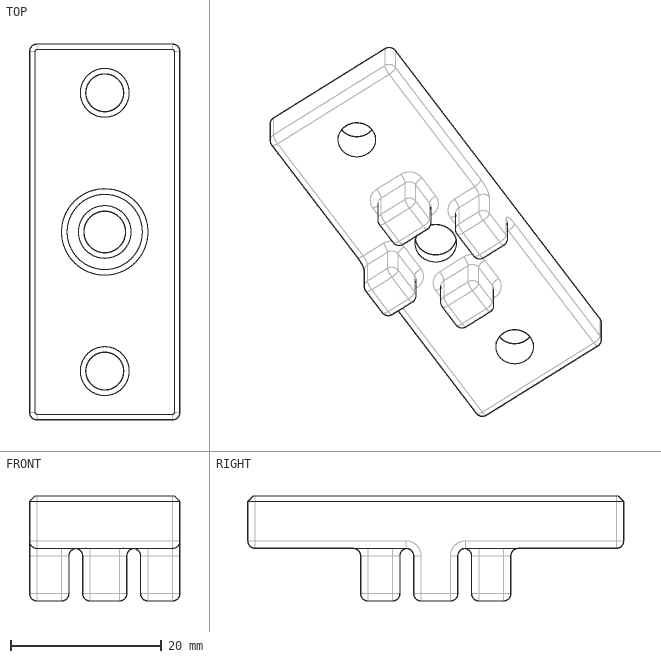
import cadquery as cq

plate_width = 20.0
plate_length = 50.0
plate_thickness = 7.0
edge_radius = 1.0
top_chamfer = 0.75

leg_height = 7.0
leg_width = 5.9
leg_inner_reach = 4.75
leg_outer_reach = plate_width / 2
root_radius = 1.0

end_hole_diameter = 5.0
end_hole_offset = 18.5
center_hole_diameter = 5.5
counterbore_diameter = 10.0
counterbore_depth = 4.0
hole_chamfer = 0.75

plate_bottom = leg_height
plate_top = leg_height + plate_thickness
selection_margin = 0.1


def make_plate():
    """Plain plate with rounded vertical corners."""
    plate = cq.Workplane("XY").workplane(offset=plate_bottom)
    plate = plate.rect(plate_width, plate_length).extrude(plate_thickness)
    return plate.edges("|Z").fillet(edge_radius)


def make_leg(angle, rounded_corners):
    """Leg pointing along +X, turned about Z; the given vertical corners are rounded."""
    leg_length = leg_outer_reach - leg_inner_reach
    leg_center = (leg_outer_reach + leg_inner_reach) / 2
    leg = cq.Workplane("XY").center(leg_center, 0).rect(leg_length, leg_width).extrude(leg_height)
    leg = leg.edges(rounded_corners).fillet(edge_radius)
    return leg.rotate((0, 0, 0), (0, 0, 1), angle)


def make_body():
    """Plate and legs with root fillets, rounded lower edges and a chamfered top."""
    body = make_plate()
    for angle in (0, 180):
        body = body.union(make_leg(angle, "|Z and <X"))
    for angle in (90, 270):
        body = body.union(make_leg(angle, "|Z"))

    root_reach = plate_width / 2 - selection_margin
    root_zone = cq.selectors.BoxSelector(
        (-root_reach, -root_reach - root_radius, plate_bottom - selection_margin),
        (root_reach, root_reach + root_radius, plate_bottom + selection_margin),
    )
    body = body.edges(root_zone).fillet(root_radius)

    lower_zone = cq.selectors.BoxSelector(
        (-plate_width, -plate_length, -selection_margin),
        (plate_width, plate_length, plate_bottom + selection_margin),
    )
    tip_edges = body.faces("<Z").edges().vals()
    side_edges = body.faces("<X or >X").edges(lower_zone).vals()
    end_edges = body.faces("<Y or >Y").edges(lower_zone).vals()
    body = body.newObject(tip_edges + side_edges + end_edges).fillet(edge_radius)

    return body.faces(">Z").edges().chamfer(top_chamfer)


def make_hole_cutter(diameter, depth, mouth_height):
    """Cylinder going down from a mouth with a 45 degree chamfer."""
    radius = diameter / 2
    mouth_radius = radius + hole_chamfer
    profile = cq.Workplane("XZ").polyline(
        [
            (0, mouth_height),
            (mouth_radius, mouth_height),
            (radius, mouth_height - hole_chamfer),
            (radius, mouth_height - depth),
            (0, mouth_height - depth),
        ]
    ).close()
    return profile.revolve(360, (0, 0, 0), (0, 1, 0))


def cut_holes(body):
    """Two end holes and the counterbored central hole, all through the plate."""
    end_hole = make_hole_cutter(end_hole_diameter, plate_thickness, plate_top)
    for side in (-1, 1):
        body = body.cut(end_hole.translate((0, side * end_hole_offset, 0)))

    counterbore = make_hole_cutter(counterbore_diameter, counterbore_depth, plate_top)
    counterbore_floor = plate_top - counterbore_depth
    center_hole = make_hole_cutter(
        center_hole_diameter, plate_thickness - counterbore_depth, counterbore_floor
    )
    return body.cut(counterbore).cut(center_hole)


result = cut_holes(make_body()).solids()